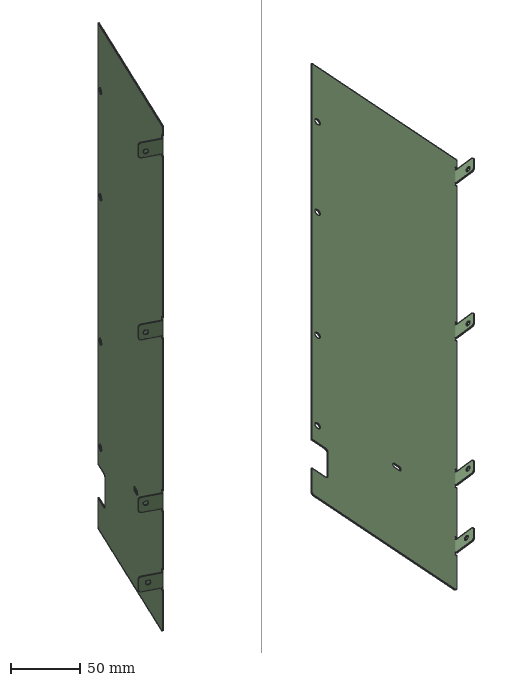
import cadquery as cq

width = 144.0
height = 435.0
depth = 19.0
thickness = 1.0
corner_radius = 2.0

edge_hole_diameter = 5.2
edge_hole_x = 5.5
edge_hole_heights = [72.5, 164.0, 288.5, 379.8]

slot_x, slot_z = 84.5, 84.5
slot_length = 8.3
slot_width = 4.0

cutout_depth = 15.5
cutout_bottom, cutout_top = 26.0, 55.2

tab_height = 13.0
tab_corner_radius = 2.0
tab_hole_diameter = 4.0
bend_inner_radius = 0.5
bend_outer_radius = bend_inner_radius + thickness
relief_height = 2.5
relief_depth = bend_outer_radius
tab_reach = depth - thickness
tabs = [
    (44.5, 7.5, 0.5),
    (112.5, 5.5, 1.0),
    (261.5, 5.5, -1.0),
    (418.0, 5.5, -1.7),
]


def wall_box(x_min, x_max, z_min, z_max):
    """Block through the panel thickness."""
    return cq.Workplane("XY").box(
        x_max - x_min, thickness, z_max - z_min, centered=False
    ).translate((x_min, 0, z_min))


def make_panel():
    panel = wall_box(0, width, 0, height).edges("|Y and <Z").fillet(corner_radius)
    cutout = wall_box(-cutout_depth, cutout_depth, cutout_bottom, cutout_top)
    panel = panel.cut(cutout.edges("|Y").fillet(corner_radius))

    holes = (
        cq.Workplane("XZ")
        .pushPoints([(edge_hole_x, z) for z in edge_hole_heights])
        .circle(edge_hole_diameter / 2)
        .extrude(-thickness)
    )
    slot = (
        cq.Workplane("XZ")
        .center(slot_x, slot_z)
        .slot2D(slot_length, slot_width)
        .extrude(-thickness)
    )
    return panel.cut(holes).cut(slot)


def make_bend_gap(center_z):
    """Clearance for the bend and the relief notches above and below it."""
    half_gap = tab_height / 2 + relief_height
    return wall_box(width - relief_depth, width, center_z - half_gap, center_z + half_gap)


def make_tab(center_z, hole_from_tip, hole_offset):
    """L-shaped tab with a rounded bend, reaching forward to -Y."""
    bend_x = width - bend_outer_radius
    bend_y = thickness - bend_outer_radius
    diagonal = 0.5 ** 0.5
    outer_mid = bend_outer_radius * diagonal
    inner_mid = bend_inner_radius * diagonal
    tab = (
        cq.Workplane("XY", origin=(0, 0, center_z - tab_height / 2))
        .moveTo(bend_x - thickness, thickness)
        .lineTo(bend_x, thickness)
        .threePointArc((bend_x + outer_mid, bend_y + outer_mid), (width, bend_y))
        .lineTo(width, -tab_reach)
        .lineTo(width - thickness, -tab_reach)
        .lineTo(width - thickness, bend_y)
        .threePointArc((bend_x + inner_mid, bend_y + inner_mid), (bend_x, 0))
        .lineTo(bend_x - thickness, 0)
        .close()
        .extrude(tab_height)
    )
    tab = tab.faces("<Y").edges("|X").fillet(tab_corner_radius)
    hole = (
        cq.Workplane("YZ", origin=(width - thickness, 0, 0))
        .center(hole_from_tip - tab_reach, center_z + hole_offset)
        .circle(tab_hole_diameter / 2)
        .extrude(thickness)
    )
    return tab.cut(hole)


result = make_panel()
for tab_z, hole_from_tip, hole_offset in tabs:
    result = result.cut(make_bend_gap(tab_z))
    result = result.union(make_tab(tab_z, hole_from_tip, hole_offset))